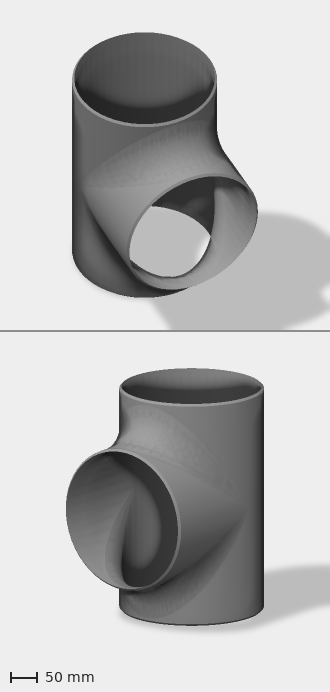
import cadquery as cq
import math

OUTER_RADIUS = 273.1 / 2
WALL = 4.19
INNER_RADIUS = OUTER_RADIUS - WALL
END_DISTANCE = 215.9
CROTCH_RADIUS = 70.0
CROTCH_CENTRE = OUTER_RADIUS + CROTCH_RADIUS
BEVEL = WALL
BLEND_SECTIONS = 13
WEDGE_OVERSHOOT = 2

ORIGIN = cq.Vector(0, 0, 0)
Y_AXIS = cq.Vector(0, 1, 0)


def half_ellipse(radius, tip_x, tip_z):
    """Half ellipse from (0, -radius, 0) through the tip to (0, radius, 0)."""
    tip = cq.Vector(tip_x, 0, tip_z)
    normal = tip.cross(Y_AXIS)
    return cq.Edge.makeEllipse(tip.Length, radius, ORIGIN, normal, tip, -90, 90)


def crotch_web(radius):
    """Solid that fills the upper crotch of a tee with the given pipe radius.

    In the plane y = 0 its edge is an arc tangent to run and branch. Every section
    parallel to that plane is a scaled copy, so the blend fades out at y = +/- radius.
    """
    arc_radius = CROTCH_CENTRE - radius
    ribs = []
    for index in range(BLEND_SECTIONS):
        angle = math.pi / 2 * index / (BLEND_SECTIONS - 1)
        tip_x = CROTCH_CENTRE - arc_radius * math.cos(angle)
        tip_z = CROTCH_CENTRE - arc_radius * math.sin(angle)
        ribs.append(half_ellipse(radius, tip_x, tip_z))

    blend = cq.occ_impl.shapes.loft(*ribs)
    diameter = cq.Edge.makeLine(cq.Vector(0, -radius, 0), cq.Vector(0, radius, 0))
    run_side = cq.Face.makeFromWires(cq.Wire.assembleEdges([ribs[0], diameter]))
    branch_side = cq.Face.makeFromWires(cq.Wire.assembleEdges([ribs[-1], diameter]))
    return cq.occ_impl.shapes.solid(*blend.Faces(), run_side, branch_side)


def wedge(radius, corner_x, corner_z):
    """Triangular prism from the Y axis towards +X, bounded by planes through the corners."""
    far_x = corner_x * WEDGE_OVERSHOOT
    far_z = corner_z * WEDGE_OVERSHOOT
    return (
        cq.Workplane("XZ")
        .polyline([(0, 0), (far_x, -far_z), (far_x, far_z)])
        .close()
        .extrude(WEDGE_OVERSHOOT * radius, both=True)
    )


def tee_body(radius):
    """Solid tee of the given pipe radius, with blended crotches and square ends."""
    run = cq.Workplane("XY").circle(radius).extrude(END_DISTANCE, both=True)
    branch = cq.Workplane("YZ").circle(radius).extrude(END_DISTANCE)
    run = run.cut(wedge(radius, radius, CROTCH_CENTRE))
    branch = branch.intersect(wedge(radius, CROTCH_CENTRE, radius))
    web = cq.Workplane(obj=crotch_web(radius))
    return run.union(web).union(web.mirror("XY")).union(branch)


def bevel_cutter():
    """Ring that bevels the outside edge of an end lying in the plane z = END_DISTANCE."""
    bevel_start = (OUTER_RADIUS, END_DISTANCE - BEVEL)
    outer_corner = (OUTER_RADIUS, END_DISTANCE)
    bevel_end = (OUTER_RADIUS - BEVEL, END_DISTANCE)
    return (
        cq.Workplane("XZ")
        .polyline([bevel_start, outer_corner, bevel_end])
        .close()
        .revolve(360, (0, 0, 0), (0, 1, 0))
    )


tee = tee_body(OUTER_RADIUS).cut(tee_body(INNER_RADIUS))
for end_angle in (0, 90, 180):
    tee = tee.cut(bevel_cutter().rotate((0, 0, 0), (0, 1, 0), end_angle))

result = cq.Workplane(obj=tee.solids().val())